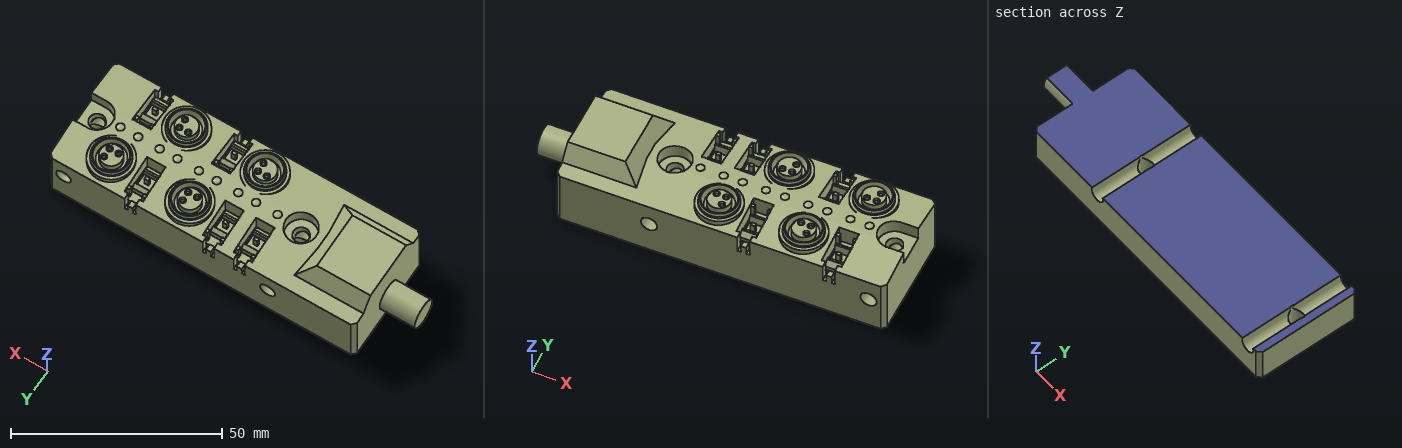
import cadquery as cq

total_length = 95.5
cable_length = 9.8
body_length = total_length - cable_length
body_width = 30.0
total_height = 20.0
half_width = body_width / 2

edge_height = 15.4
strip_height = 17.0
strip_half_width = 2.5
corner_chamfer = 1.1
roof_slope = (strip_height - edge_height) / (half_width - strip_half_width)

cable_diameter = 7.8
cable_height = 7.6

cover_top_length = 15.0
cover_top_half_width = 7.9
cover_base_length = 19.3
cover_base_half_width = 11.1
cover_base_height = strip_height - roof_slope * (cover_base_half_width - strip_half_width)

mount_x = (24.4, 81.4)
mount_diameter = 4.2
side_hole_height = 9.3
recess_diameter = 8.4
recess_floor = 13.2

socket_start = 39.4
socket_pitch = 11.0
socket_count = 4
socket_y = 8.0
collar_radius = 5.9
collar_base = 14.3
ring_radius = 5.1
ring_shoulder = 17.6
ring_top = 18.2
ring_top_radius = 4.7
bore_top_radius = 4.4
bore_floor_radius = 3.7
bore_floor = 16.2
core_radius = 3.0
contact_offset = 1.2
contact_diameter = 1.0
contact_mouth_diameter = 1.6
contact_mouth_angle = 90
contact_depth = 1.9

first_lamp_x = 30.9
lamp_pair_start = 37.0
lamp_pair_gap = 5.0
lamp_radius = 1.05
lamp_rise = 0.3

upper_pocket_x = (32.3, 40.9, 62.7)
lower_pocket_x = (48.9, 71.05)
pocket_width = 5.2
pocket_length = 10.0
pocket_inner_y = 3.3
pocket_floor = 12.1
channel_width = 3.15
channel_floor = 12.7
slit_width = 0.9
slit_floor = 10.6

rib_width = 0.9
rib_length = 1.0
rib_setback = 0.9
rib_top = 15.9

clip_width = 4.0
clip_top = 14.7
clip_flat = 12.6
clip_wedge_top = 14.3
clip_ridge_foot = 13.9
clip_wedge_foot = 13.2
clip_start = 2.5
clip_ridge = 3.6
clip_flat_start = 4.0
clip_flat_end = 7.6
clip_wedge_start = 8.2
clip_end = 9.55
nub_width = 1.1
nub_length = 0.9
nub_rise = 0.3
nub_setback = 6.0


def box(x, y, bottom, top, length, width):
    """Box centred on (x, y) that spans the heights bottom to top."""
    return cq.Workplane("XY").box(length, width, top - bottom).translate((x, y, (bottom + top) / 2))


def cylinder(x, y, bottom, top, radius):
    return cq.Workplane("XY", origin=(x, y, bottom)).circle(radius).extrude(top - bottom)


def make_body():
    profile = [
        (-half_width, 0),
        (half_width, 0),
        (half_width, edge_height),
        (strip_half_width, strip_height),
        (-strip_half_width, strip_height),
        (-half_width, edge_height),
    ]
    prism = cq.Workplane("YZ").polyline(profile).close().extrude(body_length)
    outline = (
        cq.Workplane("XY")
        .rect(body_length, body_width)
        .extrude(total_height)
        .edges("|Z")
        .chamfer(corner_chamfer)
        .translate((body_length / 2, 0, 0))
    )
    return prism.intersect(outline)


def make_cable():
    return (
        cq.Workplane("YZ", origin=(-cable_length, 0, cable_height))
        .circle(cable_diameter / 2)
        .extrude(cable_length)
    )


def make_cover():
    """Block with three sloping sides and a vertical end at X = 0, sunk into the body."""
    side = [
        (0, cover_base_height),
        (cover_base_length, cover_base_height),
        (cover_top_length, total_height),
        (0, total_height),
    ]
    end = [
        (-cover_base_half_width, cover_base_height),
        (cover_base_half_width, cover_base_height),
        (cover_top_half_width, total_height),
        (-cover_top_half_width, total_height),
    ]
    along_x = cq.Workplane("YZ").polyline(end).close().extrude(cover_base_length)
    along_y = cq.Workplane("XZ").polyline(side).close().extrude(half_width, both=True)
    return along_x.intersect(along_y)


def cut_mounting_holes(part):
    for x in mount_x:
        part = part.cut(cylinder(x, 0, 0, total_height, mount_diameter / 2))
        side_hole = (
            cq.Workplane("XZ", origin=(x, 0, side_hole_height))
            .circle(mount_diameter / 2)
            .extrude(half_width, both=True)
        )
        part = part.cut(side_hole)
    near_x, far_x = mount_x
    recess_radius = recess_diameter / 2
    near_recess = cylinder(near_x, 0, recess_floor, total_height, recess_radius)
    far_recess = cylinder(far_x, 0, recess_floor, total_height, recess_radius)
    run_out = box(far_x + recess_radius, 0, recess_floor, total_height, recess_diameter, recess_diameter)
    return part.cut(near_recess).cut(far_recess.union(run_out))


def make_socket(x, side):
    """Collar, bevelled ring and contact core; side is +1 or -1 along Y."""
    profile = [
        (0, collar_base),
        (collar_radius, collar_base),
        (collar_radius, strip_height),
        (ring_radius, strip_height),
        (ring_radius, ring_shoulder),
        (ring_top_radius, ring_top),
        (bore_top_radius, ring_top),
        (bore_floor_radius, bore_floor),
        (core_radius, bore_floor),
        (core_radius, ring_top),
        (0, ring_top),
    ]
    socket = cq.Workplane("XZ").polyline(profile).close().revolve(360, (0, 0, 0), (0, 1, 0))
    contacts = [
        (contact_offset, side * contact_offset),
        (contact_offset, -side * contact_offset),
        (-contact_offset, -side * contact_offset),
    ]
    socket = (
        socket.faces(">Z")
        .workplane(origin=(0, 0, ring_top))
        .pushPoints(contacts)
        .cskHole(contact_diameter, contact_mouth_diameter, contact_mouth_angle, contact_depth)
    )
    return socket.translate((x, side * socket_y, 0))


def make_lamp(x):
    """Spherical cap standing on the centre strip."""
    sphere_radius = (lamp_radius**2 + lamp_rise**2) / (2 * lamp_rise)
    centre_height = strip_height + lamp_rise - sphere_radius
    sphere = cq.Workplane("XY").sphere(sphere_radius)
    sphere = sphere.rotate((0, 0, 0), (1, 0, 0), 90).translate((x, 0, centre_height))
    return sphere.intersect(cylinder(x, 0, strip_height - lamp_rise, ring_top, lamp_radius))


def make_pocket(x, side):
    """Cutter for a label pocket and its channel to the side face."""
    pocket_y = side * (pocket_inner_y + pocket_length / 2)
    cutter = box(x, pocket_y, pocket_floor, total_height, pocket_width, pocket_length)
    outer_y = pocket_inner_y + pocket_length
    channel_length = half_width - outer_y
    channel_y = side * (outer_y + channel_length / 2)
    cutter = cutter.union(box(x, channel_y, channel_floor, total_height, channel_width, channel_length))
    for hand in (-1, 1):
        slit_x = x + hand * (channel_width - slit_width) / 2
        cutter = cutter.union(box(slit_x, channel_y, slit_floor, total_height, slit_width, channel_length))
    return cutter


def make_clip(x, side):
    """Ramped clip with a nub, and the ribs on the pocket's side walls."""
    end_y = side * (pocket_inner_y + pocket_length / 2) + pocket_length / 2
    profile = [
        (end_y - clip_start, pocket_floor),
        (end_y - clip_start, clip_ridge_foot),
        (end_y - clip_ridge, clip_top),
        (end_y - clip_flat_start, clip_flat),
        (end_y - clip_flat_end, clip_flat),
        (end_y - clip_flat_end, clip_wedge_top),
        (end_y - clip_wedge_start, clip_wedge_top),
        (end_y - clip_end, clip_wedge_foot),
        (end_y - clip_end, pocket_floor),
    ]
    clip = (
        cq.Workplane("YZ", origin=(x, 0, 0))
        .polyline(profile)
        .close()
        .extrude(clip_width / 2, both=True)
    )
    clip = clip.union(box(x, end_y - nub_setback, pocket_floor, clip_top + nub_rise, nub_width, nub_length))
    rib_y = end_y - rib_setback - rib_length / 2
    for hand in (-1, 1):
        rib_x = x + hand * (pocket_width - rib_width) / 2
        clip = clip.union(box(rib_x, rib_y, pocket_floor, rib_top, rib_width, rib_length))
    return clip


result = make_body().union(make_cable()).union(make_cover())
result = cut_mounting_holes(result)

for index in range(socket_count):
    offset = index * socket_pitch
    row_side = -1 if index % 2 == 0 else 1
    result = result.union(make_socket(socket_start + offset, row_side))

result = result.union(make_lamp(first_lamp_x))
for index in range(socket_count):
    pair_x = lamp_pair_start + index * socket_pitch
    result = result.union(make_lamp(pair_x))
    result = result.union(make_lamp(pair_x + lamp_pair_gap))

pockets = [(x, 1) for x in upper_pocket_x] + [(x, -1) for x in lower_pocket_x]
for pocket_x, pocket_side in pockets:
    result = result.cut(make_pocket(pocket_x, pocket_side))
    result = result.union(make_clip(pocket_x, pocket_side))